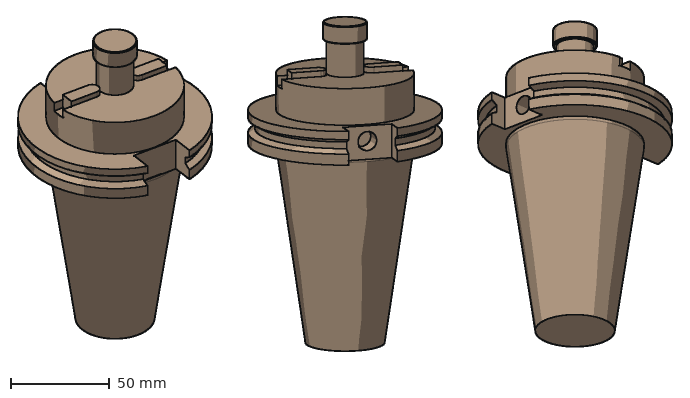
import cadquery as cq
import math

TAPER_TOP = 101.6
FLANGE_BOTTOM = 103.3
FLANGE_TOP = 120.7
BOSS_TOP = 139.7
HEAD_BOTTOM = 157.2
STUD_TOP = 166.5

BOSS_DIA = 70.0
TAPER_RATIO = 7 / 24
TAPER_END_DIA = BOSS_DIA - TAPER_RATIO * TAPER_TOP
FLANGE_DIA = 98.3

GROOVE_FLOOR_DIA = 91.3
GROOVE_MIDDLE = 112.8
GROOVE_FLOOR_WIDTH = 3.5
GROOVE_FLANK_ANGLE = 60

NOTCH_WIDTH = 25.8
NOTCH_FLOOR_LEFT = 37.8
NOTCH_FLOOR_RIGHT = 35.3
NOTCH_HOLE_DIA = 9.8
NOTCH_HOLE_DEPTH = 10.0

KEY_WIDTH = 7.7
KEY_BOTTOM = 134.9
KEY_TOP = 142.7
KEY_OUTER_END = 29.5
KEY_ROUND_CENTRE = 14.0

SHANK_DIA = 19.0
HEAD_DIA = 22.3
HEAD_CHAMFER = 0.5


def key_shape(outer_end, height):
    """Bar along -Y on the key floor, with a full round at the end nearest the axis."""
    half_width = KEY_WIDTH / 2
    return (
        cq.Workplane("XY")
        .workplane(offset=KEY_BOTTOM)
        .moveTo(-half_width, -outer_end)
        .lineTo(half_width, -outer_end)
        .lineTo(half_width, -KEY_ROUND_CENTRE)
        .threePointArc((0, half_width - KEY_ROUND_CENTRE), (-half_width, -KEY_ROUND_CENTRE))
        .close()
        .extrude(height)
    )


def on_both_sides(shape):
    """Two copies of a shape, half a turn apart about the Z axis."""
    return [shape.rotate((0, 0, 0), (0, 0, 1), angle) for angle in (0, 180)]


def make_blank():
    """Turned holder: taper, short neck, grooved flange and boss."""
    boss_radius = BOSS_DIA / 2
    flange_radius = FLANGE_DIA / 2
    floor_radius = GROOVE_FLOOR_DIA / 2
    floor_half = GROOVE_FLOOR_WIDTH / 2
    flank_height = (flange_radius - floor_radius) / math.tan(math.radians(GROOVE_FLANK_ANGLE))
    mouth_half = floor_half + flank_height
    profile = [
        (0, 0),
        (TAPER_END_DIA / 2, 0),
        (boss_radius, TAPER_TOP),
        (boss_radius, FLANGE_BOTTOM),
        (flange_radius, FLANGE_BOTTOM),
        (flange_radius, GROOVE_MIDDLE - mouth_half),
        (floor_radius, GROOVE_MIDDLE - floor_half),
        (floor_radius, GROOVE_MIDDLE + floor_half),
        (flange_radius, GROOVE_MIDDLE + mouth_half),
        (flange_radius, FLANGE_TOP),
        (boss_radius, FLANGE_TOP),
        (boss_radius, BOSS_TOP),
        (0, BOSS_TOP),
    ]
    return cq.Workplane("XZ").polyline(profile).close().revolve(360, (0, 0, 0), (0, 1, 0))


def make_notch(side, floor_distance):
    """Cutter for a drive notch; side is -1 for -X and +1 for +X."""
    length = FLANGE_DIA / 2
    height = FLANGE_TOP - FLANGE_BOTTOM
    return (
        cq.Workplane("XY")
        .box(length, NOTCH_WIDTH, height, centered=(True, True, False))
        .translate((side * (floor_distance + length / 2), 0, FLANGE_BOTTOM))
    )


def make_notch_hole():
    """Cutter for the blind hole in the floor of the -X notch."""
    return (
        cq.Workplane("YZ", origin=(-NOTCH_FLOOR_LEFT, 0, GROOVE_MIDDLE))
        .circle(NOTCH_HOLE_DIA / 2)
        .extrude(NOTCH_HOLE_DEPTH)
    )


def make_holder():
    body = make_blank()
    body = body.cut(make_notch(-1, NOTCH_FLOOR_LEFT))
    body = body.cut(make_notch(1, NOTCH_FLOOR_RIGHT))
    body = body.cut(make_notch_hole())
    for slot in on_both_sides(key_shape(BOSS_DIA / 2 + KEY_WIDTH, BOSS_TOP - KEY_BOTTOM)):
        body = body.cut(slot)
    return body


def make_stud():
    """Headed stud standing on the boss, its head chamfered at both rims."""
    shank = (
        cq.Workplane("XY")
        .workplane(offset=BOSS_TOP)
        .circle(SHANK_DIA / 2)
        .extrude(HEAD_BOTTOM - BOSS_TOP)
    )
    head = (
        cq.Workplane("XY")
        .workplane(offset=HEAD_BOTTOM)
        .circle(HEAD_DIA / 2)
        .extrude(STUD_TOP - HEAD_BOTTOM)
        .edges("%CIRCLE")
        .chamfer(HEAD_CHAMFER)
    )
    return shank.union(head)


holder = make_holder()
stud = make_stud()
keys = on_both_sides(key_shape(KEY_OUTER_END, KEY_TOP - KEY_BOTTOM))

result = cq.Compound.makeCompound([holder.solids().val(), stud.solids().val(), *[key.val() for key in keys]])